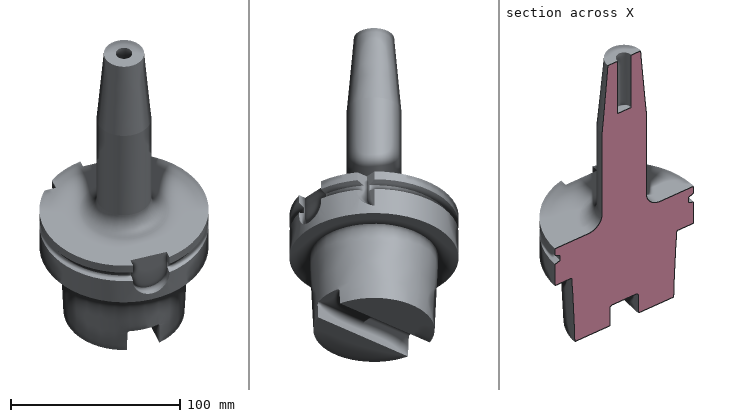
import cadquery as cq

total_height = 202.5
flange_bottom = 50.2
flange_top = 79.1
nose_start = 151.5

flange_radius = 50.0
groove_radius = 46.3
taper_end_radius = 35.8
taper_flange_radius = 38.0
neck_radius = 16.2
nose_tip_radius = 12.0
neck_fillet = 10.0

groove_lower_edge = 67.0
groove_floor_bottom = 68.2
groove_floor_top = 71.9
groove_upper_edge = 73.7

bore_radius = 4.9
bore_depth = 40.5

rim_slot_bottom = 54.9
left_slot_radius = 10.1
right_slot_radius = 11.3
left_slot_floor = 44.3
right_slot_floor = 44.0
notch_wall = 31.5

drive_slot_width = 20.2
drive_slot_height = 10.1
deep_drive_slot_height = 15.4
drive_slot_fillet = 1.6


def turned_body():
    """Taper, grooved flange, neck and conical nose, revolved about Z."""
    profile = (
        cq.Workplane("XZ")
        .moveTo(0, 0)
        .lineTo(taper_end_radius, 0)
        .lineTo(taper_flange_radius, flange_bottom)
        .lineTo(flange_radius, flange_bottom)
        .lineTo(flange_radius, groove_lower_edge)
        .lineTo(groove_radius, groove_floor_bottom)
        .lineTo(groove_radius, groove_floor_top)
        .lineTo(flange_radius, groove_upper_edge)
        .lineTo(flange_radius, flange_top)
        .lineTo(neck_radius + neck_fillet, flange_top)
        .radiusArc((neck_radius, flange_top + neck_fillet), neck_fillet)
        .lineTo(neck_radius, nose_start)
        .lineTo(nose_tip_radius, total_height)
        .lineTo(0, total_height)
        .close()
    )
    return profile.revolve(360, (0, 0, 0), (0, 1, 0))


def rim_slot(side, radius, floor, center_y=0.0):
    """Slot open at the flange top, cut from the -X or +X side (side = -1 or 1) in to the floor."""
    arc_center_z = rim_slot_bottom + radius
    return (
        cq.Workplane("YZ", origin=(side * floor, center_y, 0))
        .moveTo(-radius, flange_top)
        .lineTo(-radius, arc_center_z)
        .threePointArc((0, rim_slot_bottom), (radius, arc_center_z))
        .lineTo(radius, flange_top)
        .close()
        .extrude(side * (flange_radius - floor))
    )


def drive_slot(x_start, x_end, height):
    """Slot across the taper end with rounded upper corners."""
    return (
        cq.Workplane("XY")
        .box(x_end - x_start, drive_slot_width, height, centered=(False, True, False))
        .edges("|X and >Z")
        .fillet(drive_slot_fillet)
        .translate((x_start, 0, 0))
    )


bore = (
    cq.Workplane("XY", origin=(0, 0, total_height - bore_depth))
    .circle(bore_radius)
    .extrude(bore_depth)
)

result = (
    turned_body()
    .cut(bore)
    .cut(rim_slot(-1, left_slot_radius, left_slot_floor))
    .cut(rim_slot(1, right_slot_radius, right_slot_floor))
    .cut(rim_slot(-1, left_slot_radius, notch_wall, -notch_wall - left_slot_radius))
    .cut(drive_slot(-flange_radius, flange_radius, drive_slot_height))
    .cut(drive_slot(0, flange_radius, deep_drive_slot_height))
)